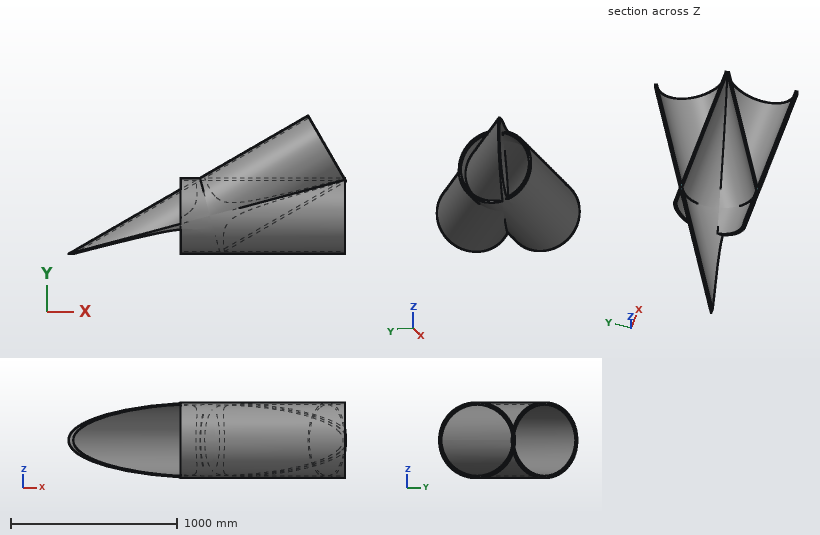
import cadquery as cq
import math

outer_diameter = 457.2
inner_diameter = 428.65
outer_radius = outer_diameter / 2
branch_angle = 30.0
length_ahead = 812.8
main_length_behind = 177.8

angle = math.radians(branch_angle)
tip_distance = outer_radius * (1 + math.cos(angle)) / math.sin(angle)
trim_margin = outer_diameter
branch_length_behind = tip_distance + trim_margin
trim_size = 2 * (branch_length_behind + length_ahead)


def rod(diameter, length_behind, length_in_front):
    """Solid cylinder along X, measured both ways from the origin."""
    plane = cq.Workplane("YZ", origin=(-length_behind, 0, 0))
    return plane.circle(diameter / 2).extrude(length_behind + length_in_front)


def pipe(length_behind, length_in_front):
    """Hollow pipe along X, open at both ends."""
    outside = rod(outer_diameter, length_behind, length_in_front)
    bore = rod(inner_diameter, length_behind, length_in_front)
    return outside.cut(bore)


def trimmed_branch():
    """Slanted pipe, cut off flush with the -Y half of the main pipe's outer surface."""
    branch = pipe(length_ahead, branch_length_behind)
    branch = branch.rotate((0, 0, 0), (0, 0, 1), branch_angle + 180)
    lower_side = cq.Workplane("XY").box(trim_size, trim_size, trim_size)
    lower_side = lower_side.translate((0, -trim_size / 2, 0))
    waste = lower_side.cut(rod(outer_diameter, trim_size, trim_size))
    return branch.cut(waste)


main_pipe = pipe(main_length_behind, length_ahead)
result = main_pipe.union(trimmed_branch(), clean=False)